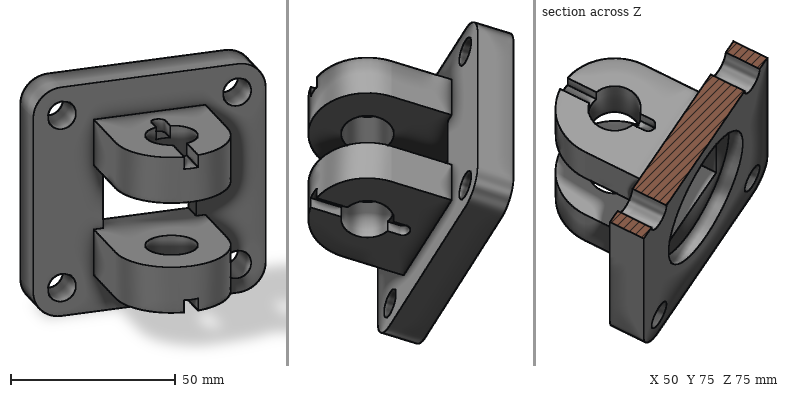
import cadquery as cq

plate_side = 75.0
plate_thickness = 12.0
corner_radius = 9.0

bolt_hole_diameter = 9.0
bolt_spacing = 56.5

recess_diameter = 45.0
recess_depth = 5.0
window_width = 30.0

overall_depth = 50.0
lug_width = 36.0
lug_thickness = 15.0
lug_gap = 21.0
pin_hole_diameter = 16.0

keyway_width = 4.5
keyway_depth = 4.0
keyway_reach = 14.0

lug_radius = lug_width / 2
pin_x = overall_depth - lug_radius
lug_inner_z = lug_gap / 2
lug_outer_z = lug_inner_z + lug_thickness
window_height = lug_gap


def make_plate():
    """Square plate with rounded corners, bolt holes, recess and window."""
    plate = (
        cq.Workplane("YZ")
        .rect(plate_side, plate_side)
        .extrude(plate_thickness)
        .edges("|X")
        .fillet(corner_radius)
    )
    bolt_holes = (
        cq.Workplane("YZ")
        .rect(bolt_spacing, bolt_spacing, forConstruction=True)
        .vertices()
        .circle(bolt_hole_diameter / 2)
        .extrude(plate_thickness)
    )
    recess = cq.Workplane("YZ").circle(recess_diameter / 2).extrude(recess_depth)
    window = cq.Workplane("YZ").rect(window_width, window_height).extrude(plate_thickness)
    return plate.cut(bolt_holes).cut(recess).cut(window)


def make_keyway():
    """Cutter for the upper keyway: round-ended near the plate, open at the lug tip."""
    end_radius = keyway_width / 2
    end_center_x = pin_x - keyway_reach + end_radius
    return (
        cq.Workplane("XY", origin=(0, 0, lug_outer_z - keyway_depth))
        .moveTo(overall_depth, -end_radius)
        .lineTo(end_center_x, -end_radius)
        .threePointArc((pin_x - keyway_reach, 0), (end_center_x, end_radius))
        .lineTo(overall_depth, end_radius)
        .close()
        .extrude(keyway_depth)
    )


def make_upper_lug():
    """Round-ended lug with its pin hole and keyway."""
    lug = (
        cq.Workplane("XY", origin=(0, 0, lug_inner_z))
        .moveTo(plate_thickness, -lug_radius)
        .lineTo(pin_x, -lug_radius)
        .threePointArc((overall_depth, 0), (pin_x, lug_radius))
        .lineTo(plate_thickness, lug_radius)
        .close()
        .extrude(lug_thickness)
    )
    pin_hole = (
        cq.Workplane("XY", origin=(pin_x, 0, lug_inner_z))
        .circle(pin_hole_diameter / 2)
        .extrude(lug_thickness)
    )
    return lug.cut(pin_hole).cut(make_keyway())


upper_lug = make_upper_lug()
lower_lug = upper_lug.mirror("XY")
result = make_plate().union(upper_lug).union(lower_lug)